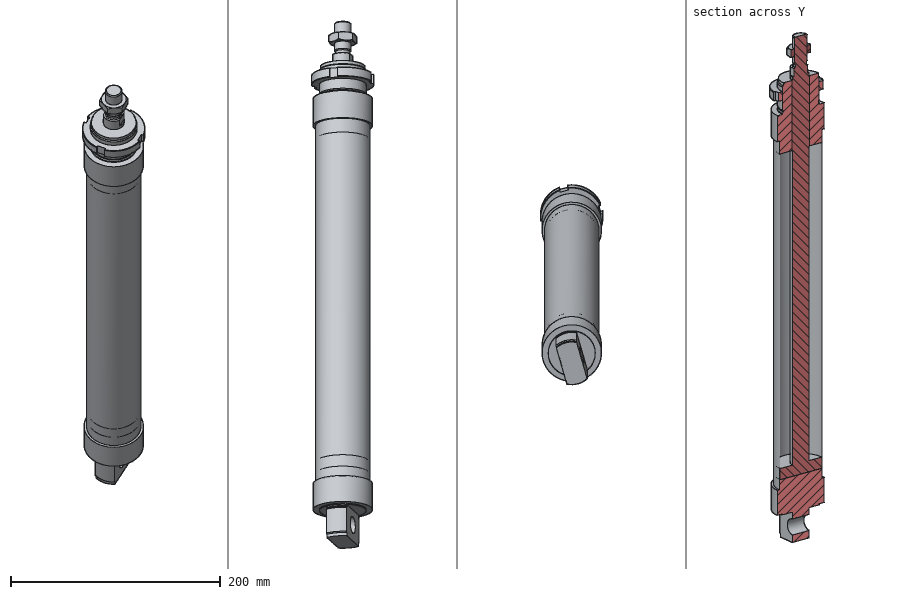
import cadquery as cq
import math

total_height = 515.0
rear_cap_bottom = 32.0
rear_cap_top = 57.5
bore_bottom = 68.0
bore_top = 400.0
front_cap_bottom = 413.0
front_cap_top = 440.0
boss_top = 472.0
shoulder_z = 483.0

tube_diameter = 52.0
bore_diameter = 50.0
cap_diameter = 56.5

stub_diameter = 45.0
relief_diameter = 43.0
collar_height = 1.0
groove_width = 3.0
lead_height = 4.0
cone_height = 1.0

eye_thickness = 20.0
eye_hole_diameter = 16.0
eye_hole_z = 16.0

piston_height = 11.5
rod_diameter = 20.0
flat_width = 17.0
flat_height = 8.0
thread_diameter = 16.0
undercut_diameter = 14.0
undercut_width = 4.5

lock_nut_width = 23.5
lock_nut_height = 8.0
lock_nut_bottom = 495.0
lock_nut_chamfer_angle = 30.0

ring_nut_diameter = 60.0
ring_nut_height = 9.5
ring_nut_bottom = 454.0
slot_count = 4
slot_width = 8.0
slot_depth = 2.5
ring_nut_chamfer = 0.5


def cylinder(diameter, bottom, top):
    """Cylinder on the Z axis between two levels."""
    return cq.Workplane("XY").workplane(offset=bottom).circle(diameter / 2).extrude(top - bottom)


def make_stub(length):
    """Threaded stub standing on Z = 0, its relief groove near the base and its lead at the top."""
    outer_radius = stub_diameter / 2
    relief_radius = relief_diameter / 2
    groove_top = collar_height + groove_width
    lead_bottom = length - lead_height
    return (
        cq.Workplane("XZ")
        .moveTo(0, 0)
        .lineTo(outer_radius, 0)
        .lineTo(outer_radius, collar_height)
        .lineTo(relief_radius, collar_height + cone_height)
        .lineTo(relief_radius, groove_top - cone_height)
        .lineTo(outer_radius, groove_top)
        .lineTo(outer_radius, lead_bottom)
        .lineTo(relief_radius, lead_bottom + cone_height)
        .lineTo(relief_radius, length)
        .lineTo(0, length)
        .close()
        .revolve(360, (0, 0, 0), (0, 1, 0))
    )


def make_rear_eye():
    """Stub hanging from the rear cap, milled to a flat plate below its collar, with a cross hole."""
    stub = make_stub(rear_cap_bottom).rotate((0, 0, 0), (1, 0, 0), 180).translate((0, 0, rear_cap_bottom))
    plate_top = rear_cap_bottom - collar_height
    plate = cq.Workplane("XY").box(eye_thickness, stub_diameter, plate_top, centered=(True, True, False))
    plate = plate.union(cylinder(stub_diameter, plate_top, rear_cap_bottom))
    hole = (
        cq.Workplane("YZ")
        .center(0, eye_hole_z)
        .circle(eye_hole_diameter / 2)
        .extrude(eye_thickness, both=True)
    )
    return stub.intersect(plate).cut(hole)


def make_housing():
    """Tube with both end caps, front boss and rear eye, bored for the piston and its rod."""
    boss = make_stub(boss_top - front_cap_top).translate((0, 0, front_cap_top))
    return (
        cylinder(tube_diameter, rear_cap_top, front_cap_bottom)
        .union(cylinder(cap_diameter, rear_cap_bottom, rear_cap_top))
        .union(cylinder(cap_diameter, front_cap_bottom, front_cap_top))
        .union(boss)
        .union(make_rear_eye())
        .cut(cylinder(bore_diameter, bore_bottom, bore_top))
        .cut(cylinder(rod_diameter, bore_top, boss_top))
    )


def make_piston_rod():
    """Piston resting on the bore floor, with a rod that ends in two wrench flats and a thread."""
    piston_top = bore_bottom + piston_height
    undercut_top = shoulder_z + undercut_width
    thread_radius = thread_diameter / 2
    undercut_radius = undercut_diameter / 2
    threaded_end = (
        cq.Workplane("XZ")
        .moveTo(0, shoulder_z)
        .lineTo(thread_radius, shoulder_z)
        .lineTo(undercut_radius, shoulder_z + cone_height)
        .lineTo(undercut_radius, undercut_top - cone_height)
        .lineTo(thread_radius, undercut_top)
        .lineTo(thread_radius, total_height - cone_height)
        .lineTo(undercut_radius, total_height)
        .lineTo(0, total_height)
        .close()
        .revolve(360, (0, 0, 0), (0, 1, 0))
    )
    rod = (
        cylinder(bore_diameter, bore_bottom, piston_top)
        .union(cylinder(rod_diameter, piston_top, shoulder_z))
        .union(threaded_end)
    )
    flat_depth = (rod_diameter - flat_width) / 2
    for side in (-1, 1):
        flat_cut = cq.Workplane("XY").box(flat_depth, rod_diameter, flat_height).translate(
            (side * (flat_width + flat_depth) / 2, 0, shoulder_z - flat_height / 2)
        )
        rod = rod.cut(flat_cut)
    return rod


def make_lock_nut():
    """Hexagonal nut with flats facing +X and -X and its corners chamfered at both ends."""
    lock_nut_top = lock_nut_bottom + lock_nut_height
    corner_diameter = lock_nut_width / math.cos(math.pi / 6)
    hexagon = (
        cq.Workplane("XY")
        .workplane(offset=lock_nut_bottom)
        .transformed(rotate=(0, 0, 30))
        .polygon(6, corner_diameter)
        .extrude(lock_nut_height)
    )
    chamfer_width = (corner_diameter - lock_nut_width) / 2
    chamfer_height = chamfer_width * math.tan(math.radians(lock_nut_chamfer_angle))
    envelope = (
        cylinder(corner_diameter, lock_nut_bottom, lock_nut_top)
        .faces("<Z")
        .chamfer(chamfer_height, chamfer_width)
        .faces(">Z")
        .chamfer(chamfer_height, chamfer_width)
    )
    return hexagon.intersect(envelope).cut(cylinder(thread_diameter, lock_nut_bottom, lock_nut_top))


def make_ring_nut():
    """Round nut with equally spaced wrench slots in its rim."""
    ring_nut_top = ring_nut_bottom + ring_nut_height
    nut = cylinder(ring_nut_diameter, ring_nut_bottom, ring_nut_top)
    nut = nut.faces("<Z or >Z").chamfer(ring_nut_chamfer)
    nut = nut.cut(cylinder(stub_diameter, ring_nut_bottom, ring_nut_top))
    slots = (
        cq.Workplane("XY")
        .workplane(offset=ring_nut_bottom)
        .polarArray(ring_nut_diameter / 2, 0, 360, slot_count)
        .rect(2 * slot_depth, slot_width)
        .extrude(ring_nut_height)
    )
    return nut.cut(slots)


housing = make_housing()
piston_rod = make_piston_rod()
lock_nut = make_lock_nut()
ring_nut = make_ring_nut()

result = cq.Compound.makeCompound([housing.val(), piston_rod.val(), lock_nut.val(), ring_nut.val()])